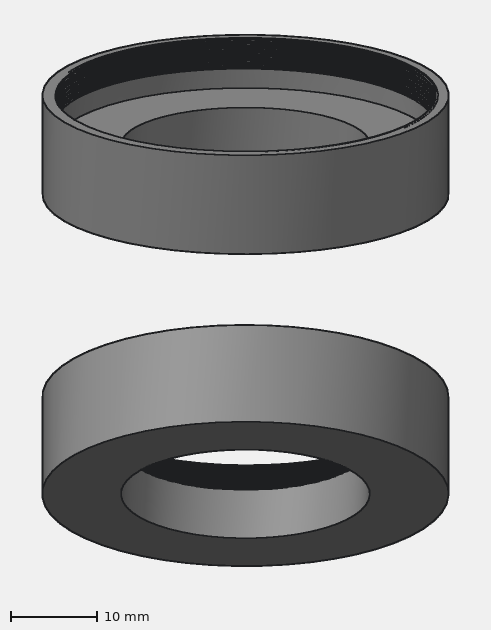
import cadquery as cq

outer_diameter = 47.0
height = 12.0
bore_diameter = 28.78

recess_diameter = 44.0
recess_depth = height / 2
recess_floor_z = height - recess_depth

threaded_depth = 4.0
thread_pitch = threaded_depth / 8
thread_turns = 9
thread_major_diameter = 44.57
cutter_inner_diameter = 43.75
mouth_width = 0.357
root_width = 0.16
thread_start_angle = 225
thread_start_z = height - threaded_depth + thread_pitch / 4
run_out_height = 4 * thread_pitch


def disc(diameter, thickness, base_z):
    """Solid disc on the Z axis with its lower face at base_z."""
    return cq.Workplane("XY").workplane(offset=base_z).circle(diameter / 2).extrude(thickness)


def thread_cutter():
    """Helical sweep of the groove profile, long enough to run out above the rim."""
    inner_radius = cutter_inner_diameter / 2
    root_radius = thread_major_diameter / 2
    path = cq.Wire.makeHelix(thread_pitch, thread_turns * thread_pitch, inner_radius)
    profile = cq.Workplane("XZ").polyline([
        (inner_radius, -mouth_width / 2),
        (root_radius, -root_width / 2),
        (root_radius, root_width / 2),
        (inner_radius, mouth_width / 2),
    ]).close()
    cutter = profile.sweep(cq.Workplane(path), isFrenet=True)
    cutter = cutter.rotate((0, 0, 0), (0, 0, 1), thread_start_angle)
    return cutter.translate((0, 0, thread_start_z))


def thread_groove():
    """Part of the cutter outside the recess wall; it continues above the rim."""
    zone_height = recess_depth + run_out_height
    wall_zone = disc(outer_diameter, zone_height, recess_floor_z)
    wall_zone = wall_zone.cut(disc(recess_diameter, zone_height, recess_floor_z))
    return thread_cutter().intersect(wall_zone)


body = disc(outer_diameter, height, 0)
body = body.cut(disc(bore_diameter, height, 0))
body = body.cut(disc(recess_diameter, recess_depth, recess_floor_z))

body = body.cut(thread_groove())

result = body